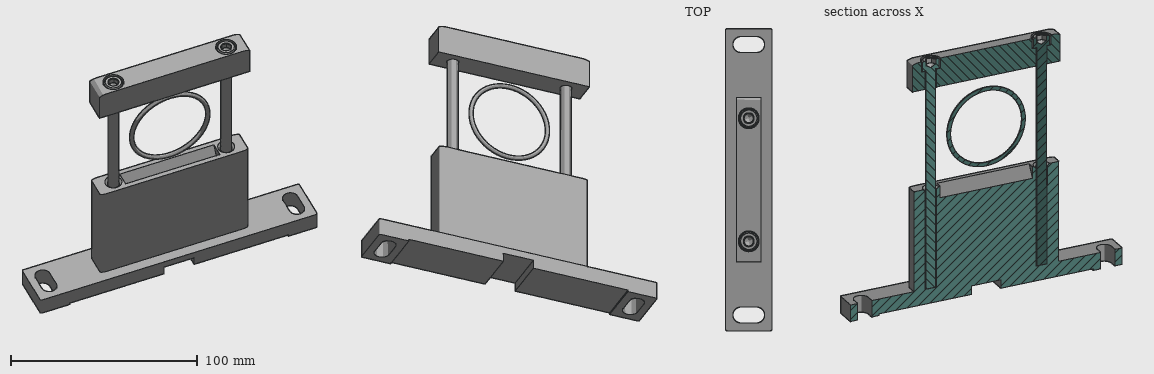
import cadquery as cq
import math


BASE_LENGTH = 162.0
BASE_WIDTH = 25.0
BASE_HEIGHT = 10.0
BASE_CORNER_RADIUS = 1.0
RELIEF_LENGTH = 127.7
RELIEF_DEPTH = 1.0
CHANNEL_WIDTH = 17.5
CHANNEL_DEPTH = 6.0
MOUNT_SLOT_OFFSET = 72.4
MOUNT_SLOT_LENGTH = 16.8
MOUNT_SLOT_WIDTH = 8.5

BODY_WIDTH = 13.3
FLAT_LENGTH = 79.0
EASING_RADIUS = 10.0
TOWER_LENGTH = 86.5
TOWER_HEIGHT = 59.3
TOWER_EDGE_RADIUS = 1.0
BAR_LENGTH = 88.0
BAR_HEIGHT = 17.0
BAR_EDGE_RADIUS = 0.6
OVERALL_HEIGHT = 145.5

TROUGH_LENGTH = 55.0
TROUGH_WIDTH = 8.0
TROUGH_DEPTH = 6.8

BOLT_SPACING = 66.0
SHANK_DIAMETER = 6.0
CLEARANCE_DIAMETER = 6.5
BORE_MOUTH_DIAMETER = 9.0
HEAD_DIAMETER = 10.0
HEAD_HEIGHT = 6.0
HEAD_CHAMFER = 0.6
COUNTERBORE_DIAMETER = 11.2
SOCKET_ACROSS_FLATS = 5.0
SOCKET_MOUTH_DIAMETER = 5.8
SOCKET_DEPTH = 3.0
SOCKET_POINT_DIAMETER = 4.9
SOCKET_POINT_ANGLE = 118.0

RING_OUTER_DIAMETER = 47.0
RING_THICKNESS = 2.5

TOWER_TOP = BASE_HEIGHT + TOWER_HEIGHT
BAR_BOTTOM = OVERALL_HEIGHT - BAR_HEIGHT
RING_CENTRE_HEIGHT = (TOWER_TOP + BAR_BOTTOM) / 2
BOLT_OFFSETS = (-BOLT_SPACING / 2, BOLT_SPACING / 2)


def arc_drop(run):
    """Fall of an arc of EASING_RADIUS over a given run from its tangent point."""
    return EASING_RADIUS - math.sqrt(EASING_RADIUS**2 - run**2)


def cylinder(diameter, bottom, top, offset):
    """Upright cylinder at Y = offset between two heights."""
    return (
        cq.Workplane("XY", origin=(0, offset, bottom))
        .circle(diameter / 2)
        .extrude(top - bottom)
    )


def cone(top_diameter, bottom_diameter, height, top, offset):
    """Upright cone at Y = offset that narrows downwards from a given height."""
    return cq.Workplane(
        cq.Solid.makeCone(
            top_diameter / 2,
            bottom_diameter / 2,
            height,
            pnt=cq.Vector(0, offset, top),
            dir=cq.Vector(0, 0, -1),
        )
    )


def make_plate():
    plate = cq.Workplane("XY").box(BASE_WIDTH, BASE_LENGTH, BASE_HEIGHT, centered=(True, True, False))
    plate = plate.edges("|Z").fillet(BASE_CORNER_RADIUS)

    for length, depth in ((RELIEF_LENGTH, RELIEF_DEPTH), (CHANNEL_WIDTH, CHANNEL_DEPTH)):
        plate = plate.cut(cq.Workplane("XY").box(BASE_WIDTH, length, depth, centered=(True, True, False)))

    mount_slots = (
        cq.Workplane("XY")
        .pushPoints([(0, -MOUNT_SLOT_OFFSET), (0, MOUNT_SLOT_OFFSET)])
        .slot2D(MOUNT_SLOT_LENGTH, MOUNT_SLOT_WIDTH)
        .extrude(BASE_HEIGHT)
    )
    return plate.cut(mount_slots)


def make_tower():
    half_width = BODY_WIDTH / 2
    half_flat = FLAT_LENGTH / 2
    half_length = TOWER_LENGTH / 2
    run = half_length - half_flat
    end_x = half_width - arc_drop(run)
    mid_x = half_width - arc_drop(run / 2)
    mid_y = half_flat + run / 2

    tower = (
        cq.Workplane("XY", origin=(0, 0, BASE_HEIGHT))
        .moveTo(half_width, -half_flat)
        .lineTo(half_width, half_flat)
        .threePointArc((mid_x, mid_y), (end_x, half_length))
        .lineTo(-end_x, half_length)
        .threePointArc((-mid_x, mid_y), (-half_width, half_flat))
        .lineTo(-half_width, -half_flat)
        .threePointArc((-mid_x, -mid_y), (-end_x, -half_length))
        .lineTo(end_x, -half_length)
        .threePointArc((mid_x, -mid_y), (half_width, -half_flat))
        .close()
        .extrude(TOWER_HEIGHT)
    )
    end_edges = tower.faces("<Y or >Y").edges("|Z")
    tower = end_edges.fillet(TOWER_EDGE_RADIUS)

    trough = (
        cq.Workplane("XZ", origin=(0, 0, TOWER_TOP))
        .moveTo(-TROUGH_WIDTH / 2, 0)
        .lineTo(0, -TROUGH_DEPTH)
        .lineTo(TROUGH_WIDTH / 2, 0)
        .close()
        .extrude(TROUGH_LENGTH / 2, both=True)
    )
    tower = tower.cut(trough)

    lead_in = (BORE_MOUTH_DIAMETER - CLEARANCE_DIAMETER) / 2
    for offset in BOLT_OFFSETS:
        hole = cylinder(CLEARANCE_DIAMETER, BASE_HEIGHT, TOWER_TOP, offset)
        mouth = cone(BORE_MOUTH_DIAMETER, CLEARANCE_DIAMETER, lead_in, TOWER_TOP, offset)
        tower = tower.cut(hole).cut(mouth)
    return tower


def make_stand():
    """Base plate and tower in one piece."""
    return make_plate().union(make_tower())


def make_bar():
    half_flat = FLAT_LENGTH / 2
    half_length = BAR_LENGTH / 2
    run = half_length - half_flat
    end_z = OVERALL_HEIGHT - arc_drop(run)
    mid_z = OVERALL_HEIGHT - arc_drop(run / 2)
    mid_y = half_flat + run / 2

    bar = (
        cq.Workplane("YZ")
        .moveTo(-half_length, BAR_BOTTOM)
        .lineTo(half_length, BAR_BOTTOM)
        .lineTo(half_length, end_z)
        .threePointArc((mid_y, mid_z), (half_flat, OVERALL_HEIGHT))
        .lineTo(-half_flat, OVERALL_HEIGHT)
        .threePointArc((-mid_y, mid_z), (-half_length, end_z))
        .close()
        .extrude(BODY_WIDTH / 2, both=True)
    )
    for end in ("<Y", ">Y"):
        bar = bar.faces(end).edges(">Z").fillet(BAR_EDGE_RADIUS)

    head_bottom = OVERALL_HEIGHT - HEAD_HEIGHT
    for offset in BOLT_OFFSETS:
        bar = bar.cut(cylinder(CLEARANCE_DIAMETER, BAR_BOTTOM, OVERALL_HEIGHT, offset))
        bar = bar.cut(cylinder(COUNTERBORE_DIAMETER, head_bottom, OVERALL_HEIGHT, offset))
    return bar


def make_bolt(offset):
    """Socket-head bolt standing on the floor of the tower hole, its head flush with the bar."""
    head_bottom = OVERALL_HEIGHT - HEAD_HEIGHT
    shank = cylinder(SHANK_DIAMETER, BASE_HEIGHT, head_bottom, offset)
    head = cylinder(HEAD_DIAMETER, head_bottom, OVERALL_HEIGHT, offset)
    head = head.faces(">Z").edges().chamfer(HEAD_CHAMFER)

    socket_floor = OVERALL_HEIGHT - SOCKET_DEPTH
    socket = (
        cq.Workplane("XY", origin=(0, offset, socket_floor))
        .polygon(6, SOCKET_ACROSS_FLATS, circumscribed=True)
        .extrude(SOCKET_DEPTH)
    )
    point_depth = SOCKET_POINT_DIAMETER / 2 / math.tan(math.radians(SOCKET_POINT_ANGLE / 2))
    point = cone(SOCKET_POINT_DIAMETER, 0, point_depth, socket_floor, offset)

    lead_in = (SOCKET_MOUTH_DIAMETER - SOCKET_ACROSS_FLATS) / 2
    mouth = cone(SOCKET_MOUTH_DIAMETER, SOCKET_ACROSS_FLATS, lead_in, OVERALL_HEIGHT, offset)
    return shank.union(head).cut(socket).cut(point).cut(mouth)


def make_ring():
    """Round-section ring standing in the gap between tower and bar, facing along X."""
    section_radius = RING_THICKNESS / 2
    centreline_radius = RING_OUTER_DIAMETER / 2 - section_radius
    ring = cq.Solid.makeTorus(centreline_radius, section_radius, dir=cq.Vector(1, 0, 0))
    return cq.Workplane(ring.translate(cq.Vector(0, 0, RING_CENTRE_HEIGHT)))


stand = make_stand()
bar = make_bar()
bolts = [make_bolt(offset) for offset in BOLT_OFFSETS]
ring = make_ring()

result = cq.Compound.makeCompound([stand.val(), bar.val(), *[bolt.val() for bolt in bolts], ring.val()])